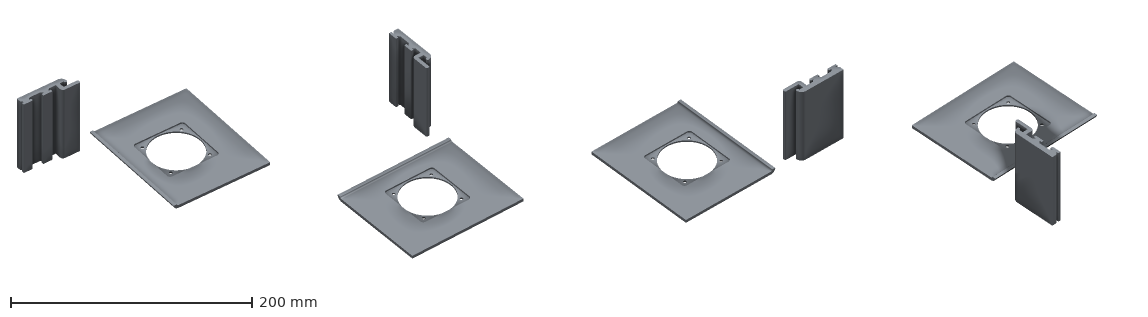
import cadquery as cq
import math

rail_height = 74.0
rail_length = 55.2
wall_thickness = 5.0
crown_y = 47.0
crown_radius = wall_thickness
bead_x = 5.4
bead_y = 45.8
bead_radius = 1.5

rail_width = 14.0
hook_thickness = 3.5
hook_floor_y = 40.2
hook_leg_thickness = 4.0
hook_corner_radius = 3.0
hook_tip_radius = 1.2

rib_count = 2
rib_pitch = 20.0
rib_half_length = 4.7
lower_rib_y = 4.8
rib_inner_x = 7.2
rib_thickness = 2.5
rib_corner_radius = 0.5
neck_half_width = 2.2
foot_radius = 2.0

plate_width = 118.0
plate_length = 99.0
plate_thickness = 3.0
plate_left_x = 4.0
plate_back_y = 170.8
plate_bottom_z = 0.75
bend_inner_radius = 1.8
bend_outer_radius = 5.2
lip_height = 4.6
lip_edge_radius = 0.4

fan_opening_diameter = 50.0
fan_seat_size = 52.0
fan_seat_corner_radius = 3.0
fan_seat_depth = 1.5
fan_screw_spacing = 40.0
fan_screw_diameter = 3.0
fan_setback = 53.4


def make_block(x_min, x_max, y_min, y_max):
    """Full-height block between the given X and Y limits."""
    return cq.Workplane("XY").box(
        x_max - x_min, y_max - y_min, rail_height, centered=False
    ).translate((x_min, y_min, 0))


def make_wall():
    """Flat wall with a rounded crown and a bead along the crown's inner edge."""
    crown_base_y = crown_y - crown_radius
    arc_share = crown_radius * math.sqrt(0.5)
    wall = (
        cq.Workplane("XY")
        .lineTo(wall_thickness, 0)
        .lineTo(wall_thickness, crown_y)
        .threePointArc(
            (crown_radius - arc_share, crown_base_y + arc_share), (0, crown_base_y)
        )
        .close()
        .extrude(rail_height)
    )
    bead = (
        cq.Workplane("XY")
        .center(bead_x, bead_y)
        .circle(bead_radius)
        .extrude(rail_height)
    )
    return wall.union(bead)


def make_hook():
    """L-shaped hook: a leg out from the wall and an arm toward +Y."""
    leg_y = hook_floor_y - hook_leg_thickness
    arm_x = rail_width - hook_thickness
    leg = make_block(wall_thickness, rail_width, leg_y, hook_floor_y)
    arm = make_block(arm_x, rail_width, leg_y, rail_length)
    return (
        leg.union(arm)
        .edges(cq.selectors.NearestToPointSelector((rail_width, leg_y, rail_height / 2)))
        .fillet(hook_corner_radius)
        .faces(">Y")
        .edges("|Z")
        .fillet(hook_tip_radius)
    )


def make_rib(center_y):
    """T-shaped rib: a neck that narrows at 45 degrees, then a flange."""
    root_half_width = neck_half_width + rib_inner_x - wall_thickness
    neck = (
        cq.Workplane("XY")
        .polyline([
            (wall_thickness, center_y - root_half_width),
            (rib_inner_x, center_y - neck_half_width),
            (rib_inner_x, center_y + neck_half_width),
            (wall_thickness, center_y + root_half_width),
        ])
        .close()
        .extrude(rail_height)
    )
    flange = make_block(
        rib_inner_x,
        rib_inner_x + rib_thickness,
        center_y - rib_half_length,
        center_y + rib_half_length,
    )
    flange = flange.faces(">X").edges("|Z").fillet(rib_corner_radius)
    return neck.union(flange)


def make_foot_cutter():
    """Corner of the wall's foot outside the 45-degree line of the lower neck."""
    neck_low_y = lower_rib_y - neck_half_width
    foot_corner_x = rib_inner_x - neck_low_y
    slope_angle = math.radians(45)
    half_angle = slope_angle / 2
    flat_end_x = foot_corner_x - foot_radius * math.tan(half_angle)
    arc_rise = foot_radius * (1 - math.cos(slope_angle))
    slope_start_x = flat_end_x + foot_radius * math.sin(slope_angle)
    half_rise = foot_radius * (1 - math.cos(half_angle))
    half_run = foot_radius * math.sin(half_angle)
    return (
        cq.Workplane("XY")
        .moveTo(flat_end_x, 0)
        .threePointArc((flat_end_x + half_run, half_rise), (slope_start_x, arc_rise))
        .lineTo(rib_inner_x, neck_low_y)
        .lineTo(rib_inner_x, 0)
        .close()
        .extrude(rail_height)
    )


def make_rail():
    rail = make_wall().union(make_hook())
    for index in range(rib_count):
        rail = rail.union(make_rib(lower_rib_y + index * rib_pitch))
    return rail.cut(make_foot_cutter())


def make_bent_sheet():
    """Sheet whose front edge curls up in a quarter bend, trimmed flat at the lip height."""
    lip_top_z = plate_bottom_z + lip_height
    outer_center_z = plate_bottom_z + bend_outer_radius
    inner_center_z = plate_bottom_z + plate_thickness + bend_inner_radius
    lip_outer_run = math.sqrt(bend_outer_radius**2 - (outer_center_z - lip_top_z)**2)
    lip_inner_run = math.sqrt(bend_inner_radius**2 - (inner_center_z - lip_top_z)**2)
    bend_y = plate_back_y - plate_length + lip_outer_run
    outer_share = bend_outer_radius * math.sqrt(0.5)
    inner_share = bend_inner_radius * math.sqrt(0.5)
    return (
        cq.Workplane("YZ", origin=(plate_left_x, 0, 0))
        .moveTo(plate_back_y, plate_bottom_z)
        .lineTo(bend_y, plate_bottom_z)
        .threePointArc(
            (bend_y - outer_share, outer_center_z - outer_share),
            (bend_y - lip_outer_run, lip_top_z),
        )
        .lineTo(bend_y - lip_inner_run, lip_top_z)
        .threePointArc(
            (bend_y - inner_share, inner_center_z - inner_share),
            (bend_y, plate_bottom_z + plate_thickness),
        )
        .lineTo(plate_back_y, plate_bottom_z + plate_thickness)
        .close()
        .extrude(plate_width)
        .faces(">Z")
        .edges("|X")
        .fillet(lip_edge_radius)
    )


def make_plate():
    """Bent sheet with the recessed fan seat, its opening and four screw holes."""
    fan_center = (plate_left_x + plate_width / 2, plate_back_y - fan_setback)
    plate_top_z = plate_bottom_z + plate_thickness
    seat_plane = cq.Workplane("XY", origin=(*fan_center, plate_top_z - fan_seat_depth))
    seat = (
        seat_plane.rect(fan_seat_size, fan_seat_size)
        .extrude(fan_seat_depth)
        .edges("|Z")
        .fillet(fan_seat_corner_radius)
    )
    through = cq.Workplane("XY", origin=(*fan_center, plate_bottom_z))
    opening = through.circle(fan_opening_diameter / 2).extrude(plate_thickness)
    screw_holes = (
        through.rect(fan_screw_spacing, fan_screw_spacing, forConstruction=True)
        .vertices()
        .circle(fan_screw_diameter / 2)
        .extrude(plate_thickness)
    )
    return make_bent_sheet().cut(seat).cut(opening).cut(screw_holes)


rail = make_rail()
plate = make_plate()
result = cq.Compound.makeCompound([rail.val(), plate.val()])